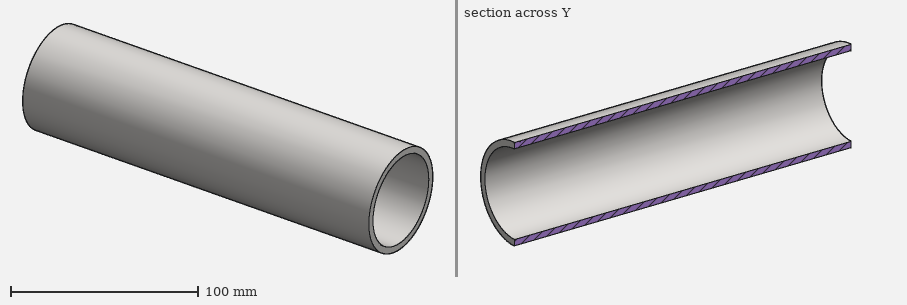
import cadquery as cq

LENGTH = 225.0
OUTER_DIAMETER = 60.3
WALL_THICKNESS = 3.91

inner_diameter = OUTER_DIAMETER - 2 * WALL_THICKNESS


def make_pipe():
    """Extrude the ring-shaped section along the full length of the pipe."""
    end_plane = cq.Workplane("YZ", origin=(-LENGTH / 2, 0, 0))
    ring = end_plane.circle(OUTER_DIAMETER / 2).circle(inner_diameter / 2)
    return ring.extrude(LENGTH)


result = make_pipe()